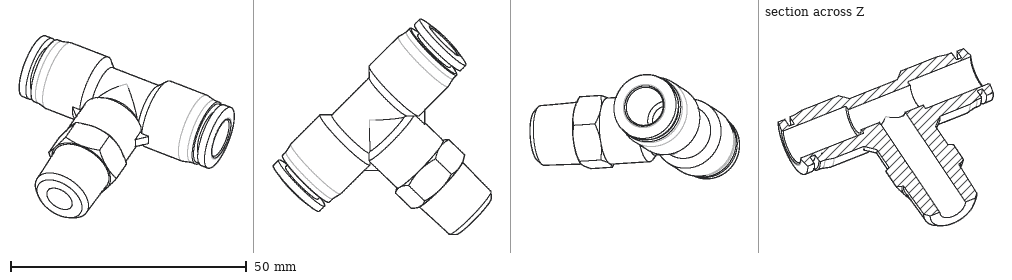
import cadquery as cq
import math

run_half_length = 22.6
waist_radius = 5.75
waist_half_length = 5.65
socket_radius = 7.5
socket_inner_end = waist_half_length + socket_radius - waist_radius
socket_taper_start = 16.23
socket_rim_start = 18.15
socket_end = 19.4
socket_rim_radius = 7.05
socket_rim_end = 19.25
socket_end_radius = 6.65
neck_radius = 4.9
collar_start = 20.5
collar_radius = 6.9
collar_cone_start = 22.15
collar_face_radius = 4.65

flow_radius = 3.05
mouth_radius = 4.4
tube_radius = 4.1
tube_stop = socket_inner_end
mouth_chamfer = mouth_radius - tube_radius

branch_radius = 7.05
branch_shoulder = 6.5
branch_cone_start = branch_shoulder - (branch_radius - waist_radius)
hex_start = 15.0
hex_end = 21.0
hex_flat_radius = 7.0
hex_corner_radius = hex_flat_radius / math.cos(math.radians(30))
hex_chamfer_length = 0.65
thread_start_radius = 6.65
thread_end_radius = 6.37
thread_chamfer_start = 29.9
branch_length = 31.0
branch_tip_radius = 5.4

gusset_thickness = 2.25
gusset_reach = 9.1
gusset_diagonal = gusset_reach + socket_radius


def revolve_about_run(profile):
    """Revolve (x, radius) points about the X axis."""
    return cq.Workplane("XY").polyline(profile).close().revolve(360, (0, 0), (1, 0))


def revolve_about_branch(profile):
    """Revolve (radius, distance along -Y) points about the Y axis."""
    points = [(radius, -distance) for radius, distance in profile]
    return cq.Workplane("XY").polyline(points).close().revolve(360, (0, 0), (0, 1))


def make_half_run():
    return revolve_about_run([
        (0, 0),
        (0, waist_radius),
        (waist_half_length, waist_radius),
        (socket_inner_end, socket_radius),
        (socket_taper_start, socket_radius),
        (socket_rim_start, socket_rim_radius),
        (socket_rim_end, socket_rim_radius),
        (socket_end, socket_end_radius),
        (socket_end, neck_radius),
        (collar_start, neck_radius),
        (collar_start, collar_radius),
        (collar_cone_start, collar_radius),
        (run_half_length, collar_face_radius),
        (run_half_length, 0),
    ])


def make_half_run_bore():
    return revolve_about_run([
        (0, 0),
        (0, flow_radius),
        (tube_stop, flow_radius),
        (tube_stop, tube_radius),
        (run_half_length - mouth_chamfer, tube_radius),
        (run_half_length, mouth_radius),
        (run_half_length, 0),
    ])


def make_branch():
    return revolve_about_branch([
        (0, 0),
        (waist_radius, 0),
        (waist_radius, branch_cone_start),
        (branch_radius, branch_shoulder),
        (branch_radius, hex_start),
        (thread_start_radius, hex_start),
        (thread_start_radius, hex_end),
        (thread_end_radius, thread_chamfer_start),
        (branch_tip_radius, branch_length),
        (0, branch_length),
    ])


def make_hex():
    """Hexagon with flats facing +Z and -Z and conically chamfered corners."""
    prism = (
        cq.Workplane("XZ", origin=(0, -hex_start, 0))
        .polygon(6, 2 * hex_corner_radius)
        .extrude(hex_end - hex_start)
    )
    envelope = revolve_about_branch([
        (0, hex_start),
        (hex_flat_radius, hex_start),
        (hex_corner_radius, hex_start + hex_chamfer_length),
        (hex_corner_radius, hex_end - hex_chamfer_length),
        (hex_flat_radius, hex_end),
        (0, hex_end),
    ])
    return prism.intersect(envelope)


def make_gussets():
    """Triangular plate whose two exposed corners form the gussets."""
    return (
        cq.Workplane("XY")
        .polyline([
            (-gusset_reach, -socket_radius),
            (-branch_radius, branch_radius - gusset_diagonal),
            (branch_radius, branch_radius - gusset_diagonal),
            (gusset_reach, -socket_radius),
            (gusset_reach, -waist_radius),
            (-gusset_reach, -waist_radius),
        ])
        .close()
        .extrude(gusset_thickness / 2, both=True)
    )


half_run = make_half_run()
half_bore = make_half_run_bore()
branch_bore = cq.Workplane("XZ").circle(flow_radius).extrude(branch_length)

body = half_run.union(half_run.mirror("YZ"))
body = body.union(make_branch()).union(make_hex()).union(make_gussets())
result = body.cut(half_bore).cut(half_bore.mirror("YZ")).cut(branch_bore)